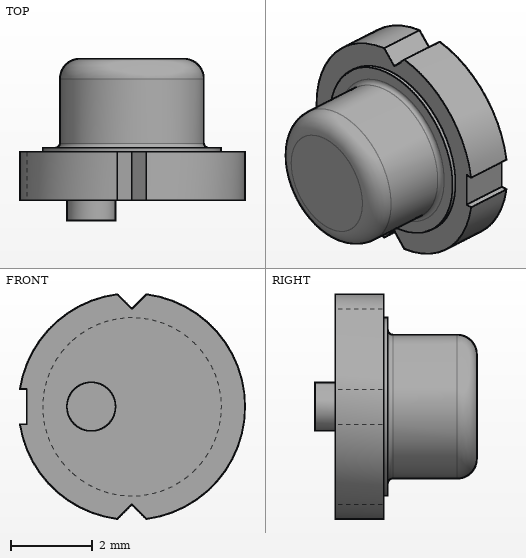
import cadquery as cq
import math

overall_width = 5.56
base_thickness = 1.2
side_notch_half_height = 0.435
side_notch_floor = 2.595
v_notch_apex = 2.415
flange_radius = 2.2
flange_thickness = 0.1
cap_radius = 1.78
cap_top = 3.5
cap_edge_radius = 0.5
cap_root_radius = 0.11
pin_radius = 0.6
pin_length = 0.5
pin_offset = -1.0

base_radius = (overall_width**2 + side_notch_half_height**2) / (2 * overall_width)


def front_plane():
    """XZ sketch plane at the base front face, with its normal toward -Y."""
    return cq.Workplane("XZ")


def v_notch(side):
    """90 degree V cutter at the top (side = 1) or bottom (side = -1)."""
    spread = base_radius - v_notch_apex
    outer = side * base_radius
    return (
        front_plane()
        .polyline([(0, side * v_notch_apex), (spread, outer), (-spread, outer)])
        .close()
        .extrude(-base_thickness)
    )


def side_notch():
    """Rectangular cutter on the -X side of the base."""
    return (
        front_plane()
        .moveTo(-side_notch_floor, -side_notch_half_height)
        .lineTo(-base_radius, -side_notch_half_height)
        .lineTo(-base_radius, side_notch_half_height)
        .lineTo(-side_notch_floor, side_notch_half_height)
        .close()
        .extrude(-base_thickness)
    )


def base():
    disc = front_plane().circle(base_radius).extrude(-base_thickness)
    for side in (1, -1):
        disc = disc.cut(v_notch(side))
    return disc.cut(side_notch())


def cap():
    """Flanged cap with a rounded top edge and a filleted root, revolved about Y."""
    flange_top = base_thickness + flange_thickness
    diagonal = math.sqrt(0.5)
    root_x = cap_radius + cap_root_radius
    root_y = flange_top + cap_root_radius
    root_mid = (root_x - cap_root_radius * diagonal, root_y - cap_root_radius * diagonal)
    edge_x = cap_radius - cap_edge_radius
    edge_y = cap_top - cap_edge_radius
    edge_mid = (edge_x + cap_edge_radius * diagonal, edge_y + cap_edge_radius * diagonal)
    return (
        cq.Workplane("XY")
        .moveTo(0, base_thickness)
        .lineTo(flange_radius, base_thickness)
        .lineTo(flange_radius, flange_top)
        .lineTo(root_x, flange_top)
        .threePointArc(root_mid, (cap_radius, root_y))
        .lineTo(cap_radius, edge_y)
        .threePointArc(edge_mid, (edge_x, cap_top))
        .lineTo(0, cap_top)
        .close()
        .revolve(360, (0, 0, 0), (0, 1, 0))
    )


def pin():
    return front_plane().center(pin_offset, 0).circle(pin_radius).extrude(pin_length)


result = base().union(cap()).union(pin())